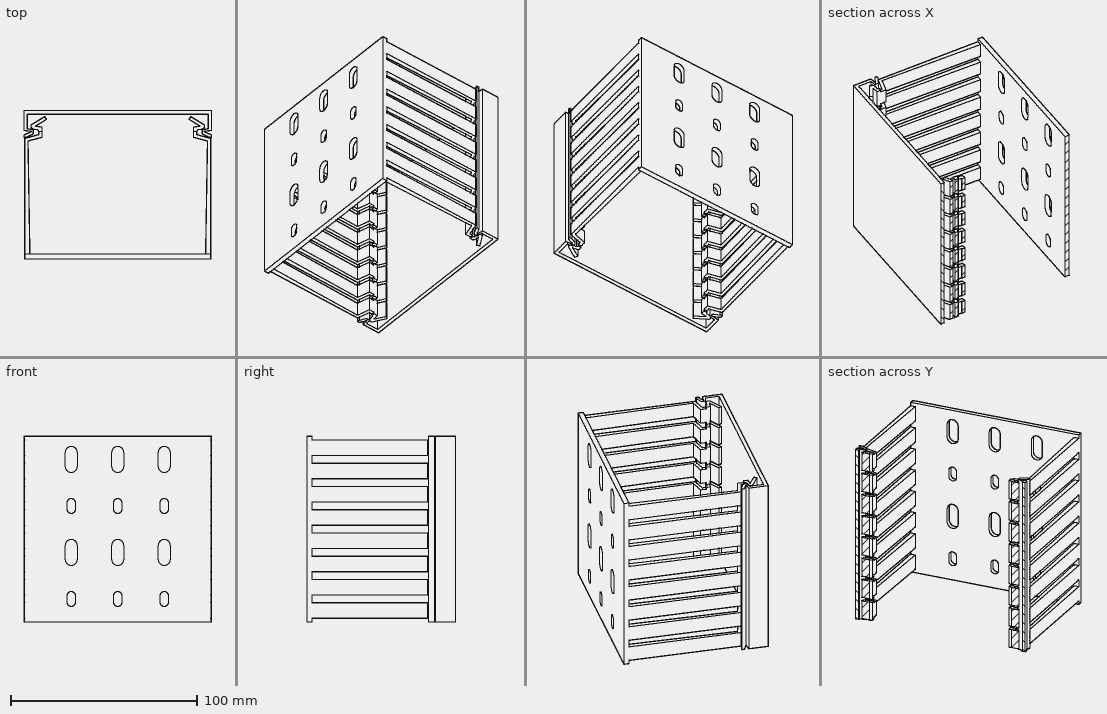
import cadquery as cq

COVER_WIDTH = 101.0
TOTAL_DEPTH = 80.0
LENGTH = 100.0
DUCT_WIDTH = 100.0

HALF_COVER = COVER_WIDTH / 2
HALF_DUCT = DUCT_WIDTH / 2

BASE_THICKNESS = 2.8
WALL_ROOT_THICKNESS = 2.8
WALL_TIP_THICKNESS = 1.8
WALL_TIP_DROP = 16.6
WALL_TOP_DROP = 15.0

FINGER_COUNT = 8
FINGER_PITCH = LENGTH / FINGER_COUNT
FINGER_HEIGHT = 8.5
HOOK_HEIGHT = 10.7
HOOK_DROP = 11.3

CLIP_INNER_X = 40.6
CLIP_OUTER_X = 42.5
NOSE_RADIUS = 1.1

HOLE_PITCH = LENGTH / 4
HOLE_COLUMNS = 3
LARGE_HOLE = (6.5, 14.0)
SMALL_HOLE = (4.5, 8.0)
HOLE_ROWS = [SMALL_HOLE, LARGE_HOLE, SMALL_HOLE, LARGE_HOLE]

COVER_THICKNESS = 2.2
COVER_WALL = 1.9
RIM_RADIUS = 0.8
COVER_INNER_X = HALF_COVER - COVER_WALL


def from_cover(x, drop):
    """Profile point at half-width x, a given drop below the cover face."""
    return (x, TOTAL_DEPTH - drop)


def mirrored(points):
    """The same half-profile points on the -X side, in reverse order."""
    return [(-x, y) for x, y in reversed(points)]


def extrude_profile(points, height, z_centre=0.0):
    """Closed XY outline extruded along Z, centred on z_centre."""
    bottom = z_centre - height / 2
    return cq.Workplane("XY").workplane(offset=bottom).polyline(points).close().extrude(height)


WALL_PROFILE = [
    (HALF_DUCT, BASE_THICKNESS),
    from_cover(HALF_DUCT, WALL_TOP_DROP),
    from_cover(CLIP_OUTER_X, 13.0),
    from_cover(CLIP_OUTER_X, HOOK_DROP),
    from_cover(CLIP_INNER_X, HOOK_DROP),
    from_cover(CLIP_INNER_X, 14.5),
    from_cover(HALF_DUCT - WALL_TIP_THICKNESS, WALL_TIP_DROP),
    (HALF_DUCT - WALL_ROOT_THICKNESS, BASE_THICKNESS),
]

NOSE_BOTTOM = from_cover(46.8, 9.3)
NOSE_TOP = from_cover(46.8, 7.9)

HOOK_PROFILE = [
    from_cover(CLIP_INNER_X, HOOK_DROP),
    from_cover(CLIP_OUTER_X, HOOK_DROP),
    from_cover(43.0, 10.4),
    from_cover(45.2, 10.3),
    NOSE_BOTTOM,
    NOSE_TOP,
    from_cover(39.2, 3.3),
    from_cover(38.3, 4.9),
    from_cover(44.1, 8.5),
    from_cover(CLIP_INNER_X, 9.0),
]

RIM_CORNER = from_cover(45.3, 12.7)
RIM_TIP = from_cover(HALF_COVER, 13.2)

COVER_SIDE = [
    from_cover(HALF_COVER, 0),
    from_cover(HALF_COVER, 10.8),
    from_cover(46.4, 11.4),
    RIM_TIP,
    from_cover(HALF_COVER, 14.6),
    from_cover(49.1, 14.5),
    RIM_CORNER,
    from_cover(45.3, 10.4),
    from_cover(COVER_INNER_X, 9.8),
    from_cover(COVER_INNER_X, COVER_THICKNESS),
]


def round_corner(body, corner, radius):
    """Round the Z edge that stands on a profile corner."""
    x, y = corner
    z = body.val().Center().z
    return body.edges("|Z").edges(cq.selectors.NearestToPointSelector((x, y, z))).fillet(radius)


def slot_cutter(width, height, x, z):
    """Upright round-ended slot that passes through the base plate."""
    return (
        cq.Workplane("XZ", origin=(x, 0, z))
        .slot2D(height, width, 90)
        .extrude(-BASE_THICKNESS)
    )


def make_base():
    base = cq.Workplane("XY").box(DUCT_WIDTH, BASE_THICKNESS, LENGTH, centered=(True, False, True))
    for row, (width, height) in enumerate(HOLE_ROWS):
        z = (row - (len(HOLE_ROWS) - 1) / 2) * HOLE_PITCH
        for column in range(HOLE_COLUMNS):
            x = (column - (HOLE_COLUMNS - 1) / 2) * HOLE_PITCH
            base = base.cut(slot_cutter(width, height, x, z))
    return base


def make_finger(z_centre):
    """One +X finger: its wall and, on the clip leg, the taller hook."""
    wall = extrude_profile(WALL_PROFILE, FINGER_HEIGHT, z_centre)
    hook = extrude_profile(HOOK_PROFILE, HOOK_HEIGHT, z_centre)
    for corner in (NOSE_BOTTOM, NOSE_TOP):
        hook = round_corner(hook, corner, NOSE_RADIUS)
    return wall.union(hook)


def make_duct():
    duct = make_base()
    for index in range(FINGER_COUNT):
        finger = make_finger((index - (FINGER_COUNT - 1) / 2) * FINGER_PITCH)
        duct = duct.union(finger).union(finger.mirror("YZ"))
    return duct


def make_cover():
    cover = extrude_profile(COVER_SIDE + mirrored(COVER_SIDE), LENGTH)
    rim_corners = [RIM_CORNER, RIM_TIP]
    for corner in rim_corners + mirrored(rim_corners):
        cover = round_corner(cover, corner, RIM_RADIUS)
    return cover


duct = make_duct()
cover = make_cover()

result = cq.Compound.makeCompound([duct.val(), cover.val()])